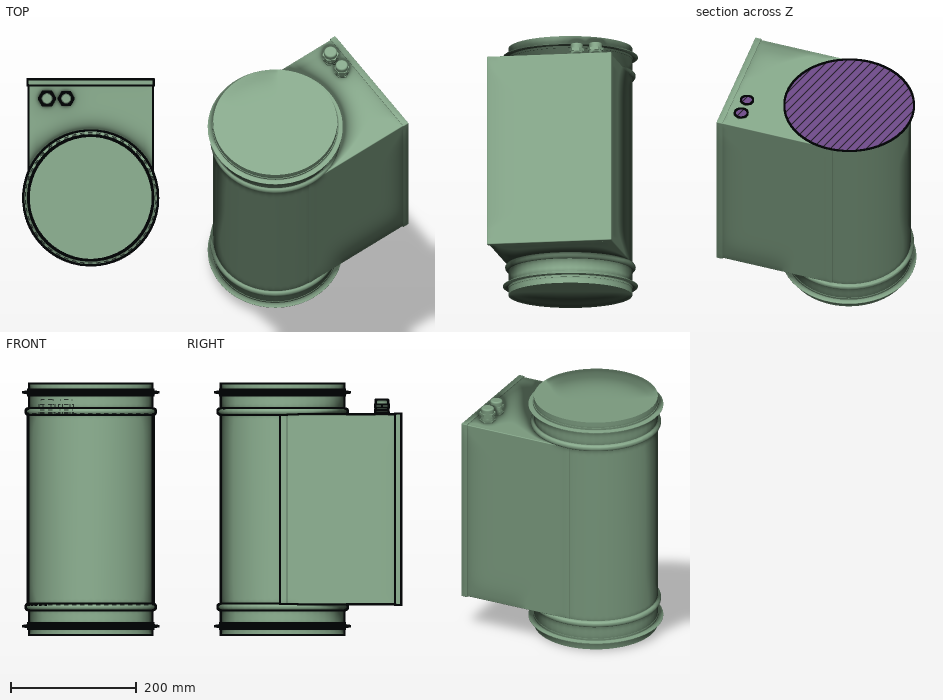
import cadquery as cq
import math

DUCT_LENGTH = 400.0
DUCT_RADIUS = 98.5

COLLAR_RADIUS = 99.5
COLLAR_HEIGHT = 9.6
LIP_RADIUS = 107.3
LIP_ROOT_HEIGHT = 3.2
LIP_TIP_HEIGHT = 0.8
LIP_CENTRE_Z = 185.6

BOX_HEIGHT = 302.0
SHEET_BEND_RADIUS = 1.2
WRAP_RADIUS = 99.2
WRAP_START_Y = 7.0
WRAP_END_Y = -4.2
BOX_HALF_WIDTH = math.sqrt(WRAP_RADIUS**2 - WRAP_START_Y**2)

OVERALL_DEPTH = 296.0
LID_BACK_Y = OVERALL_DEPTH - LIP_RADIUS
LID_DEPTH = 10.0
LID_WIDTH = 200.8
LID_HEIGHT = 304.4

BEAD_RADIUS = 5.2
BEAD_CENTRE_Z = 155.2

GLANDS = [(-69.3, 22.4, 10.4), (-38.9, 20.5, 9.8)]
GLAND_Y = 157.7
GLAND_NUT_HEIGHT = 2.5
GLAND_SEAL_HEIGHT = 4.0
GLAND_SEAL_STEP = 0.3
GLAND_CAP_NUT_OFFSET = 10.8
GLAND_CAP_NUT_HEIGHT = 4.2
GLAND_HEIGHT = 23.3
GLAND_TOP_ROUND = 2.5


def cylinder(radius, bottom_z, height):
    return cq.Workplane("XY").workplane(offset=bottom_z).circle(radius).extrude(height)


def make_lip_collar():
    """Collar and tapered lip at the upper duct end, revolved about the duct axis."""
    half_collar = COLLAR_HEIGHT / 2
    half_root = LIP_ROOT_HEIGHT / 2
    half_tip = LIP_TIP_HEIGHT / 2
    return (
        cq.Workplane("XZ")
        .moveTo(0, LIP_CENTRE_Z - half_collar)
        .lineTo(COLLAR_RADIUS, LIP_CENTRE_Z - half_collar)
        .lineTo(COLLAR_RADIUS, LIP_CENTRE_Z - half_root)
        .lineTo(LIP_RADIUS, LIP_CENTRE_Z - half_tip)
        .lineTo(LIP_RADIUS, LIP_CENTRE_Z + half_tip)
        .lineTo(COLLAR_RADIUS, LIP_CENTRE_Z + half_root)
        .lineTo(COLLAR_RADIUS, LIP_CENTRE_Z + half_collar)
        .lineTo(0, LIP_CENTRE_Z + half_collar)
        .close()
        .revolve(360, (0, 0, 0), (0, 1, 0))
    )


def make_bead():
    """Half-round bead around the upper part of the duct."""
    return (
        cq.Workplane("XZ")
        .moveTo(0, BEAD_CENTRE_Z - BEAD_RADIUS)
        .lineTo(DUCT_RADIUS, BEAD_CENTRE_Z - BEAD_RADIUS)
        .threePointArc(
            (DUCT_RADIUS + BEAD_RADIUS, BEAD_CENTRE_Z),
            (DUCT_RADIUS, BEAD_CENTRE_Z + BEAD_RADIUS),
        )
        .lineTo(0, BEAD_CENTRE_Z + BEAD_RADIUS)
        .close()
        .revolve(360, (0, 0, 0), (0, 1, 0))
    )


def make_duct():
    duct = cylinder(DUCT_RADIUS, -DUCT_LENGTH / 2, DUCT_LENGTH)
    for ring in (make_lip_collar(), make_bead()):
        duct = duct.union(ring).union(ring.mirror("XY"))
    return duct


def make_box():
    """Box whose side sheets follow the duct for a short arc before they end."""
    wrap_end_x = math.sqrt(WRAP_RADIUS**2 - WRAP_END_Y**2)
    back_y = LID_BACK_Y - LID_DEPTH
    return (
        cq.Workplane("XY")
        .workplane(offset=-BOX_HEIGHT / 2)
        .moveTo(-wrap_end_x, WRAP_END_Y)
        .threePointArc((-WRAP_RADIUS, 0), (-BOX_HALF_WIDTH, WRAP_START_Y))
        .lineTo(-BOX_HALF_WIDTH, back_y)
        .lineTo(BOX_HALF_WIDTH, back_y)
        .lineTo(BOX_HALF_WIDTH, WRAP_START_Y)
        .threePointArc((WRAP_RADIUS, 0), (wrap_end_x, WRAP_END_Y))
        .close()
        .extrude(BOX_HEIGHT)
        .edges("|Y and (>Z or <Z)")
        .fillet(SHEET_BEND_RADIUS)
    )


def make_lid():
    lid_centre_y = LID_BACK_Y - LID_DEPTH / 2
    lid = cq.Workplane("XY").box(LID_WIDTH, LID_DEPTH, LID_HEIGHT)
    lid = lid.edges("|Y or >Y").fillet(SHEET_BEND_RADIUS)
    return lid.translate((0, lid_centre_y, 0))


def make_nut(across_flats, bottom_z, height):
    """Hexagonal nut with two corners along X."""
    across_corners = across_flats / math.cos(math.pi / 6)
    return cq.Workplane("XY").workplane(offset=bottom_z).polygon(6, across_corners).extrude(height)


def make_gland(x, across_flats, body_radius):
    body = cylinder(body_radius, 0, GLAND_HEIGHT).faces(">Z").edges().fillet(GLAND_TOP_ROUND)
    seal = cylinder(body_radius + GLAND_SEAL_STEP, GLAND_NUT_HEIGHT, GLAND_SEAL_HEIGHT)
    base_nut = make_nut(across_flats, 0, GLAND_NUT_HEIGHT)
    cap_nut = make_nut(across_flats, GLAND_CAP_NUT_OFFSET, GLAND_CAP_NUT_HEIGHT)
    gland = body.union(seal).union(base_nut).union(cap_nut)
    return gland.translate((x, GLAND_Y, BOX_HEIGHT / 2))


result = make_duct().union(make_box()).union(make_lid())
for gland_x, nut_width, gland_radius in GLANDS:
    result = result.union(make_gland(gland_x, nut_width, gland_radius))